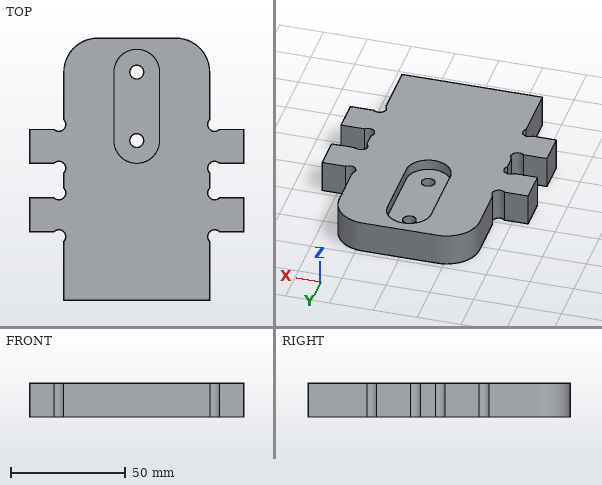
import cadquery as cq
import math

length = 115.0
thickness = 15.0
body_width = 64.0
back_corner_radius = 15.0

overall_width = 94.0
tab_width = 15.0
first_tab_y = 30.0
tab_pitch = 30.0

relief_radius = 3.0
relief_offset = relief_radius / math.sqrt(2)

pocket_width = 20.0
pocket_depth = 5.0
hole_diameter = 6.0
hole_spacing = 30.0
back_hole_y = length - back_corner_radius
hole_positions = [(0, back_hole_y), (0, back_hole_y - hole_spacing)]


def make_body():
    body = cq.Workplane("XY").box(body_width, length, thickness, centered=(True, False, False))
    return body.edges("|Z and >Y").fillet(back_corner_radius)


def make_tab_pair(start_y):
    pair = cq.Workplane("XY").box(overall_width, tab_width, thickness, centered=(True, False, False))
    return pair.translate((0, start_y, 0))


def make_reliefs(start_y):
    """Cylinders set diagonally outward so that each passes through its corner."""
    relief_x = body_width / 2 + relief_offset
    low_y = start_y - relief_offset
    high_y = start_y + tab_width + relief_offset
    centers = [(x, y) for x in (-relief_x, relief_x) for y in (low_y, high_y)]
    return cq.Workplane("XY").pushPoints(centers).circle(relief_radius).extrude(thickness)


def make_pocket():
    pocket_center_y = back_hole_y - hole_spacing / 2
    return (
        cq.Workplane("XY", origin=(0, pocket_center_y, thickness))
        .slot2D(hole_spacing + pocket_width, pocket_width, 90)
        .extrude(-pocket_depth)
    )


def make_holes():
    return cq.Workplane("XY").pushPoints(hole_positions).circle(hole_diameter / 2).extrude(thickness)


tab_starts = [first_tab_y, first_tab_y + tab_pitch]

result = make_body()
for tab_y in tab_starts:
    result = result.union(make_tab_pair(tab_y))
for tab_y in tab_starts:
    result = result.cut(make_reliefs(tab_y))
result = result.cut(make_pocket()).cut(make_holes())